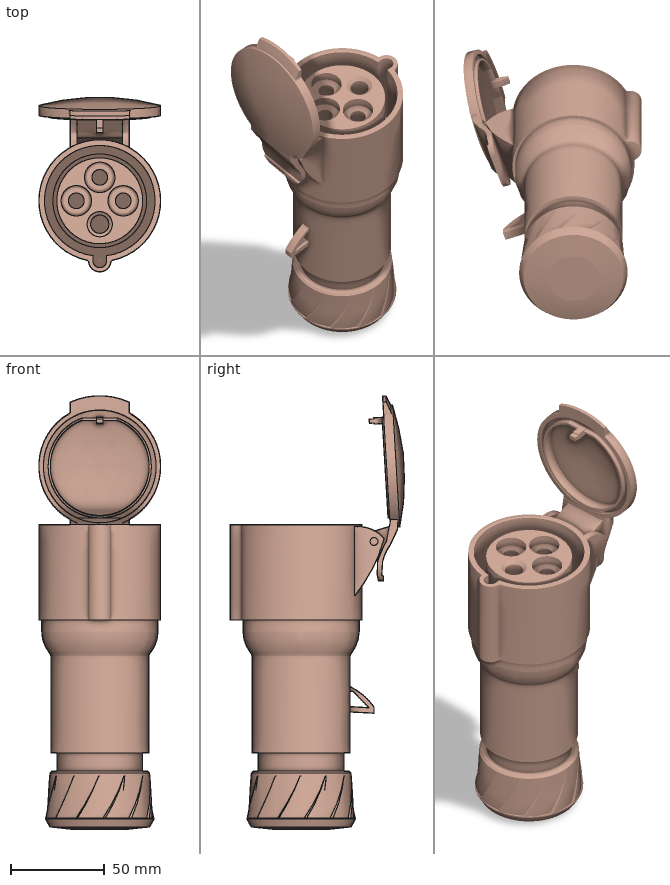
import cadquery as cq
import math

OVERALL_HEIGHT = 231.2

NUT_TOP = 31.2
GRIP_BOTTOM = 41.0
GRIP_TOP = 92.5
SHOULDER_BOTTOM = 94.4
SHOULDER_TOP = 105.5
SHROUD_BOTTOM = 111.7
SHROUD_TOP = 162.5

NECK_RADIUS = 23.0
GRIP_RADIUS = 26.1
SHOULDER_FOOT_RADIUS = 27.0
SHOULDER_RADIUS = 31.0

SHROUD_DIAMETER = 65.0
SHROUD_RADIUS = SHROUD_DIAMETER / 2
SHROUD_WALL = 3.0
FLOOR_THICKNESS = 4.0
KEY_CENTRE_Y = -32.0
KEY_SLOT_RADIUS = 3.7
KEY_LOBE_RADIUS = 6.0
KEY_FILLET = 1.2
FLOOR_LEVEL = SHROUD_BOTTOM + FLOOR_THICKNESS
CAVITY_RADIUS = SHROUD_RADIUS - SHROUD_WALL

INSERT_RADIUS = 23.0
INSERT_FLANGE_RADIUS = 25.0
INSERT_FLANGE_THICKNESS = 4.6
INSERT_RECESS = 3.0
INSERT_TOP = SHROUD_TOP - INSERT_RECESS
CONTACT_CIRCLE_RADIUS = 12.5
CONTACT_BORE_RADIUS = 4.2
CONTACT_BORE_DEPTH = 27.8
COUNTERBORE_RADIUS = 8.0
COUNTERBORE_DEPTH = 5.3
EARTH_BORE_RADIUS = 4.9
EARTH_CHAMFER = 1.8
CHAMFER_CONE_ANGLE = 90

NUT_TOP_RADIUS = 26.5
NUT_BOTTOM_RADIUS = 28.0
NUT_TOP_CHAMFER = 1.2
NUT_RIM_RADIUS = 29.0
NUT_RIM_LEVEL = 5.5
NUT_RIM_HEIGHT = 0.7
NUT_BASE_RADIUS = 13.9
NUT_FOOT_RADIUS = 26.5
NUT_FOOT_LEVEL = 1.5
RIDGE_COUNT = 12
RIDGE_HEIGHT = 1.0
RIDGE_SWEEP = 18.0
RIDGE_EXTRA_SWEEP = 6.0
RIDGE_WALL_LEAN = 6.0
RIDGE_ROOT = 1.2
RIDGE_FRACTIONS = (0.06, 0.35, 0.68, 1.0)

PIN_RADIUS = 2.0
PIN_Y = 38.8
PIN_Z = 153.5
HINGE_HALF_WIDTH = 15.7
EAR_THICKNESS = 3.5
EAR_TOP = 161.5
EAR_FOOT_Y = 28.7
EAR_FOOT_Z = 124.6
EAR_BURIED_Y = 23.1
EAR_BEND = (41.2, 145.5)
EAR_BELLY = (37.2, 137.5)
WEB_THICKNESS = 3.0
KNUCKLE_CLEARANCE = 0.2
KNUCKLE_HALF_WIDTH = HINGE_HALF_WIDTH - EAR_THICKNESS - KNUCKLE_CLEARANCE
KNUCKLE_RADIUS = 5.3
KNUCKLE_PLATE_SLOPE = 17.0
PLATE_ROOT_Y = 47.2

LID_RADIUS = SHROUD_RADIUS
LID_CENTRE_Y = 45.5
LID_TILT = 3.4
LID_RIM_THICKNESS = 5.0
LID_DOME_HEIGHT = 4.5
LID_DOME_WALL = 2.3
LID_GROOVE_RADIUS = 30.0
LID_GROOVE_DEPTH = 2.0
LIP_RADIUS = 27.5
LIP_THICKNESS = 1.2
LIP_HEIGHT = 1.0
LIP_FLAT_HEIGHT = 26.0
TAB_RADIUS = 37.7
TAB_THICKNESS = 4.2
TAB_TIP_THICKNESS = 1.8
TAB_FILLET = 1.5
TAB_REACH = (
    TAB_RADIUS * math.cos(math.radians(LID_TILT)) + TAB_TIP_THICKNESS * math.sin(math.radians(LID_TILT))
)
LID_CENTRE_Z = OVERALL_HEIGHT - TAB_REACH
CATCH_WIDTH = 3.7
CATCH_HEIGHT = 3.5
CATCH_LENGTH = 4.5
CATCH_RISE = 0.5
CATCH_TIP_HEIGHT = 2.3
CATCH_TIP_LENGTH = 2.5
TAIL_CORNER_RADIUS = 8.0
TAIL_HEEL_Y = 44.0
TAIL_END = 132.5
ARM_TOP = 166.0

LOOP_WIDTH = 4.6
LOOP_TIP_Y = 38.8
LOOP_OVERRUN = 1.2
LOOP_ROOT_Y = GRIP_RADIUS - LOOP_OVERRUN


def disc(radius, bottom, top):
    """Upright cylinder on the plug axis."""
    return cq.Workplane("XY").workplane(offset=bottom).circle(radius).extrude(top - bottom)


def side_plate(half_width):
    """Workplane in (Y, Z) at -half_width, ready to be extruded across X."""
    return cq.Workplane("YZ").workplane(offset=-half_width)


def hinge_cylinder(radius, half_width):
    """Cylinder on the hinge axis."""
    return side_plate(half_width).center(PIN_Y, PIN_Z).circle(radius).extrude(2 * half_width)


def make_handle():
    profile = (
        cq.Workplane("XZ")
        .moveTo(0, SHROUD_BOTTOM)
        .lineTo(SHOULDER_RADIUS, SHROUD_BOTTOM)
        .lineTo(SHOULDER_RADIUS, SHOULDER_TOP)
        .tangentArcPoint((SHOULDER_FOOT_RADIUS, SHOULDER_BOTTOM), relative=False)
        .tangentArcPoint((GRIP_RADIUS, GRIP_TOP), relative=False)
        .lineTo(GRIP_RADIUS, GRIP_BOTTOM)
        .lineTo(NECK_RADIUS, GRIP_BOTTOM)
        .lineTo(NECK_RADIUS, NUT_TOP)
        .lineTo(0, NUT_TOP)
        .close()
    )
    return profile.revolve()


def make_ears():
    """Two hinge cheeks that carry the pin behind the shroud."""
    ears = cq.Workplane("XY")
    for inner_face in (-HINGE_HALF_WIDTH, HINGE_HALF_WIDTH - EAR_THICKNESS):
        ear = (
            cq.Workplane("YZ")
            .workplane(offset=inner_face)
            .moveTo(EAR_BURIED_Y, EAR_TOP)
            .lineTo(32.4, EAR_TOP)
            .threePointArc((39.0, 159.3), (44.2, 155.2))
            .lineTo(*EAR_BEND)
            .threePointArc(EAR_BELLY, (EAR_FOOT_Y, EAR_FOOT_Z))
            .lineTo(EAR_BURIED_Y, EAR_FOOT_Z)
            .close()
            .extrude(EAR_THICKNESS)
        )
        ears = ears.add(ear)
    return ears


def make_web():
    """Sloping wall that closes the gap between the ears below the knuckle."""
    bend_y, bend_z = EAR_BEND
    return (
        side_plate(HINGE_HALF_WIDTH)
        .moveTo(bend_y, bend_z)
        .threePointArc(EAR_BELLY, (EAR_FOOT_Y, EAR_FOOT_Z))
        .lineTo(EAR_FOOT_Y - WEB_THICKNESS, EAR_FOOT_Z)
        .lineTo(bend_y - WEB_THICKNESS, bend_z)
        .close()
        .extrude(2 * HINGE_HALF_WIDTH)
    )


def make_shroud():
    height = SHROUD_TOP - SHROUD_BOTTOM
    lobe = (
        cq.Workplane("XY")
        .workplane(offset=SHROUD_BOTTOM)
        .center(0, KEY_CENTRE_Y)
        .circle(KEY_LOBE_RADIUS)
        .extrude(height)
    )
    shroud = disc(SHROUD_RADIUS, SHROUD_BOTTOM, SHROUD_TOP).union(lobe)
    lobe_roots = cq.selectors.BoxSelector(
        (-CAVITY_RADIUS, -SHROUD_RADIUS, SHROUD_BOTTOM), (CAVITY_RADIUS, -CAVITY_RADIUS, SHROUD_TOP)
    )
    shroud = shroud.edges("|Z").edges(lobe_roots).fillet(KEY_FILLET)
    for ear in make_ears().vals():
        shroud = shroud.union(cq.Workplane(ear))
    shroud = shroud.union(make_web())

    key_slot = (
        cq.Workplane("XY")
        .workplane(offset=FLOOR_LEVEL)
        .moveTo(-KEY_SLOT_RADIUS, 0)
        .lineTo(-KEY_SLOT_RADIUS, KEY_CENTRE_Y)
        .threePointArc((0, KEY_CENTRE_Y - KEY_SLOT_RADIUS), (KEY_SLOT_RADIUS, KEY_CENTRE_Y))
        .lineTo(KEY_SLOT_RADIUS, 0)
        .close()
        .extrude(SHROUD_TOP - FLOOR_LEVEL)
    )
    cavity = disc(CAVITY_RADIUS, FLOOR_LEVEL, SHROUD_TOP).union(key_slot)
    return shroud.cut(cavity).cut(hinge_cylinder(PIN_RADIUS, HINGE_HALF_WIDTH))


def make_insert():
    insert = disc(INSERT_RADIUS, FLOOR_LEVEL, INSERT_TOP).union(
        disc(INSERT_FLANGE_RADIUS, FLOOR_LEVEL, FLOOR_LEVEL + INSERT_FLANGE_THICKNESS)
    )
    top = insert.faces(">Z").workplane(origin=(0, 0, INSERT_TOP))
    insert = top.pushPoints(
        [(-CONTACT_CIRCLE_RADIUS, 0), (0, CONTACT_CIRCLE_RADIUS), (CONTACT_CIRCLE_RADIUS, 0)]
    ).cboreHole(2 * CONTACT_BORE_RADIUS, 2 * COUNTERBORE_RADIUS, COUNTERBORE_DEPTH, CONTACT_BORE_DEPTH)
    top = insert.faces(">Z").workplane(origin=(0, 0, INSERT_TOP))
    return top.pushPoints([(0, -CONTACT_CIRCLE_RADIUS)]).cskHole(
        2 * EARTH_BORE_RADIUS, 2 * (EARTH_BORE_RADIUS + EARTH_CHAMFER), CHAMFER_CONE_ANGLE, CONTACT_BORE_DEPTH
    )


def polar(radius, angle):
    """Point at an angle in degrees, counted from straight forward (-Y) towards +X."""
    return radius * math.sin(math.radians(angle)), -radius * math.cos(math.radians(angle))


def make_ridge():
    """Wedge that grows down the nut from nothing, its steep edge winding round as it descends."""
    top = NUT_TOP - NUT_TOP_CHAMFER
    bottom = NUT_RIM_LEVEL + NUT_RIM_HEIGHT
    sections = []
    for fraction in RIDGE_FRACTIONS:
        level = top + fraction * (bottom - top)
        skin = NUT_TOP_RADIUS + fraction * (NUT_BOTTOM_RADIUS - NUT_TOP_RADIUS)
        crest = skin + fraction * RIDGE_HEIGHT
        steep_edge = -fraction * (RIDGE_SWEEP + fraction * RIDGE_EXTRA_SWEEP)
        steep_foot = steep_edge - fraction * RIDGE_WALL_LEAN
        root = skin - RIDGE_ROOT
        section = (
            cq.Workplane("XY")
            .workplane(offset=level)
            .moveTo(*polar(skin, 0))
            .threePointArc(polar((skin + crest) / 2, steep_edge / 2), polar(crest, steep_edge))
            .lineTo(*polar(root, steep_foot))
            .threePointArc(polar(root, steep_foot / 2), polar(root, 0))
            .close()
        )
        sections.append(section.val())
    return cq.Workplane(cq.Solid.makeLoft(sections))


def make_nut():
    nut = (
        cq.Workplane("XZ")
        .moveTo(0, 0)
        .lineTo(NUT_BASE_RADIUS, 0)
        .lineTo(NUT_FOOT_RADIUS, NUT_FOOT_LEVEL)
        .lineTo(NUT_RIM_RADIUS, NUT_RIM_LEVEL)
        .lineTo(NUT_RIM_RADIUS, NUT_RIM_LEVEL + NUT_RIM_HEIGHT)
        .lineTo(NUT_BOTTOM_RADIUS, NUT_RIM_LEVEL + NUT_RIM_HEIGHT)
        .lineTo(NUT_TOP_RADIUS, NUT_TOP - NUT_TOP_CHAMFER)
        .lineTo(NUT_TOP_RADIUS - NUT_TOP_CHAMFER, NUT_TOP)
        .lineTo(0, NUT_TOP)
        .close()
        .revolve()
    )
    ridge = make_ridge()
    for index in range(RIDGE_COUNT):
        nut = nut.union(ridge.rotate((0, 0, 0), (0, 0, 1), index * 360 / RIDGE_COUNT))
    return nut


def lid_disc(radius, start, end):
    """Cylinder on the lid axis between two local Y positions."""
    return cq.Workplane("XZ").workplane(offset=-start).circle(radius).extrude(start - end)


def clipped_below(shape, height):
    """The part of a lid shape that lies below a straight chord."""
    size = 4 * LID_RADIUS
    return shape.intersect(cq.Workplane("XY").box(size, size, size).translate((0, 0, height - size / 2)))


def make_lid_cap():
    """Domed cap with a gasket groove, a flat-topped lip, a finger tab and a catch."""
    crown = LID_RIM_THICKNESS + LID_DOME_HEIGHT
    dome_radius = (LID_RADIUS**2 + LID_DOME_HEIGHT**2) / (2 * LID_DOME_HEIGHT)
    rim = lid_disc(LID_RADIUS, 0, crown)
    dome_ball = cq.Workplane("XY").sphere(dome_radius).translate((0, crown - dome_radius, 0))
    hollow_ball = (
        cq.Workplane("XY")
        .sphere(dome_radius - LID_DOME_WALL)
        .translate((0, crown - dome_radius, 0))
    )
    cap = rim.intersect(dome_ball)

    tab = (
        cq.Workplane("XY")
        .moveTo(LID_GROOVE_RADIUS, 0)
        .lineTo(TAB_RADIUS, 0)
        .lineTo(TAB_RADIUS, TAB_TIP_THICKNESS)
        .lineTo(LID_RADIUS, TAB_THICKNESS)
        .lineTo(LID_GROOVE_RADIUS, TAB_THICKNESS)
        .close()
        .revolve(360, (0, 0), (0, 1))
    )
    tab_span = cq.Workplane("XY").box(
        2 * HINGE_HALF_WIDTH, LID_RADIUS, TAB_RADIUS, centered=(True, True, False)
    )
    tab = tab.intersect(tab_span)
    cap = cap.union(tab)
    tab_roots = cq.selectors.BoxSelector(
        (-LIP_RADIUS, -LIP_HEIGHT, LID_RADIUS / 2), (LIP_RADIUS, LID_RIM_THICKNESS, 0.95 * LID_RADIUS)
    )
    cap = cap.edges("|Y").edges(tab_roots).fillet(TAB_FILLET)

    groove = lid_disc(LID_GROOVE_RADIUS, 0, LID_GROOVE_DEPTH)
    lip = clipped_below(lid_disc(LIP_RADIUS, -LIP_HEIGHT, LID_GROOVE_DEPTH), LIP_FLAT_HEIGHT)
    hollow = lid_disc(LIP_RADIUS - LIP_THICKNESS, -LIP_HEIGHT, crown).intersect(hollow_ball)
    hollow = clipped_below(hollow, LIP_FLAT_HEIGHT - LIP_THICKNESS)
    cap = cap.cut(groove).union(lip).cut(hollow)

    catch_centre = LIP_FLAT_HEIGHT + CATCH_RISE - CATCH_HEIGHT / 2
    catch_length = CATCH_LENGTH + LID_GROOVE_DEPTH
    catch = (
        cq.Workplane("XY")
        .box(CATCH_WIDTH, catch_length, CATCH_HEIGHT)
        .translate((0, LID_GROOVE_DEPTH - LIP_HEIGHT - catch_length / 2, catch_centre))
    )
    catch = (
        catch.faces("<Y")
        .workplane(centerOption="CenterOfMass")
        .rect(CATCH_WIDTH, CATCH_TIP_HEIGHT)
        .extrude(CATCH_TIP_LENGTH)
    )
    return cap.union(catch)


def make_lid_arm():
    """Bent arm below the cap that narrows into a round-cornered tail."""
    arm = (
        side_plate(HINGE_HALF_WIDTH)
        .moveTo(47.9, ARM_TOP)
        .lineTo(46.7, 160.3)
        .lineTo(45.5, 154.0)
        .threePointArc((43.2, 149.5), (40.7, 143.1))
        .lineTo(40.5, 136.0)
        .lineTo(41.2, TAIL_END)
        .lineTo(TAIL_HEEL_Y, TAIL_END)
        .lineTo(TAIL_HEEL_Y, 135.0)
        .lineTo(43.0, 135.5)
        .lineTo(43.5, 143.0)
        .threePointArc((45.0, 147.5), (47.6, 152.0))
        .lineTo(51.3, 159.8)
        .lineTo(51.5, ARM_TOP)
        .close()
        .extrude(2 * HINGE_HALF_WIDTH)
    )
    height = LID_CENTRE_Z - TAIL_END
    outline = (
        cq.Workplane("XY")
        .box(2 * HINGE_HALF_WIDTH, LID_CENTRE_Z, height, centered=(True, True, False))
        .translate((0, 0, TAIL_END))
        .edges("|Y and <Z")
        .fillet(TAIL_CORNER_RADIUS)
    )
    return arm.intersect(outline)


def make_knuckle():
    """Barrel round the pin, joined to the arm by a sloping plate."""
    slope = math.radians(KNUCKLE_PLATE_SLOPE)
    touch_y = PIN_Y - KNUCKLE_RADIUS * math.sin(slope)
    touch_z = PIN_Z + KNUCKLE_RADIUS * math.cos(slope)
    plate_root_z = touch_z + (PLATE_ROOT_Y - touch_y) * math.tan(slope)
    plate = (
        side_plate(KNUCKLE_HALF_WIDTH)
        .moveTo(touch_y, touch_z)
        .lineTo(PLATE_ROOT_Y, plate_root_z)
        .lineTo(46.2, 153.5)
        .lineTo(43.7, 149.5)
        .lineTo(PIN_Y, PIN_Z - KNUCKLE_RADIUS)
        .close()
        .extrude(2 * KNUCKLE_HALF_WIDTH)
    )
    return plate.union(hinge_cylinder(KNUCKLE_RADIUS, KNUCKLE_HALF_WIDTH))


def make_lid():
    cap = (
        make_lid_cap()
        .rotate((0, 0, 0), (1, 0, 0), LID_TILT)
        .translate((0, LID_CENTRE_Y, LID_CENTRE_Z))
    )
    lid = cap.union(make_lid_arm()).union(make_knuckle())
    return lid.cut(hinge_cylinder(PIN_RADIUS, KNUCKLE_HALF_WIDTH))


def make_loop():
    """Bent strap behind the grip; its two feet are trimmed to the curve of the grip."""
    loop = (
        side_plate(LOOP_WIDTH / 2)
        .moveTo(LOOP_ROOT_Y, 76.8)
        .threePointArc((33.3, 71.5), (LOOP_TIP_Y, 65.5))
        .lineTo(LOOP_TIP_Y, 62.0)
        .lineTo(LOOP_ROOT_Y, 62.7)
        .lineTo(LOOP_ROOT_Y, 65.7)
        .lineTo(36.0, 65.0)
        .lineTo(27.8, 73.5)
        .lineTo(LOOP_ROOT_Y, 74.0)
        .close()
        .extrude(LOOP_WIDTH)
    )
    return loop.cut(disc(GRIP_RADIUS, GRIP_BOTTOM, GRIP_TOP))


handle = make_handle()
shroud = make_shroud()
insert = make_insert()
nut = make_nut()
hinge_pin = hinge_cylinder(PIN_RADIUS, HINGE_HALF_WIDTH)
lid = make_lid()
loop = make_loop()

result = cq.Compound.makeCompound(
    [
        handle.val(),
        shroud.val(),
        insert.val(),
        nut.val(),
        hinge_pin.val(),
        lid.val(),
        loop.val(),
    ]
)